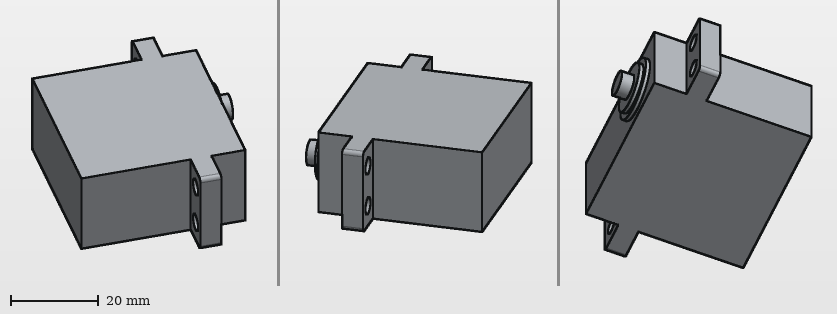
import cadquery as cq

case_length = 40.0
case_depth = 39.0
case_height = 20.0

ear_reach = 8.0
ear_thickness = 5.0
ear_setback = 8.0
ear_corner_radius = 1.0

hole_diameter = 4.0
hole_spacing = 10.0

shaft_steps = [(15.0, 1.0), (12.0, 1.0), (6.0, 3.0)]
shaft_from_case_end = 10.0

span = case_length + 2 * ear_reach
hole_pitch_x = case_length + ear_reach


def make_case():
    return cq.Workplane("XY").box(case_length, case_depth, case_height).translate((0, -case_depth / 2, 0))


def make_ears():
    """One plate across the full span, rounded at its corners and drilled along Y."""
    plate = (
        cq.Workplane("XZ")
        .workplane(offset=ear_setback)
        .rect(span, case_height)
        .extrude(ear_thickness)
        .edges("|Y")
        .fillet(ear_corner_radius)
    )
    holes = (
        cq.Workplane("XZ")
        .workplane(offset=ear_setback)
        .rarray(hole_pitch_x, hole_spacing, 2, 2)
        .circle(hole_diameter / 2)
        .extrude(ear_thickness)
    )
    return plate.cut(holes)


def make_shaft():
    """Coaxial discs stacked along +Y from the output face."""
    shaft_x = shaft_from_case_end - case_length / 2
    shaft = cq.Workplane("XY")
    base_y = 0.0
    for diameter, length in shaft_steps:
        disc = (
            cq.Workplane("XZ")
            .workplane(offset=-base_y)
            .center(shaft_x, 0)
            .circle(diameter / 2)
            .extrude(-length)
        )
        shaft = shaft.add(disc)
        base_y += length
    return shaft.combine()


result = make_case().union(make_ears()).union(make_shaft())